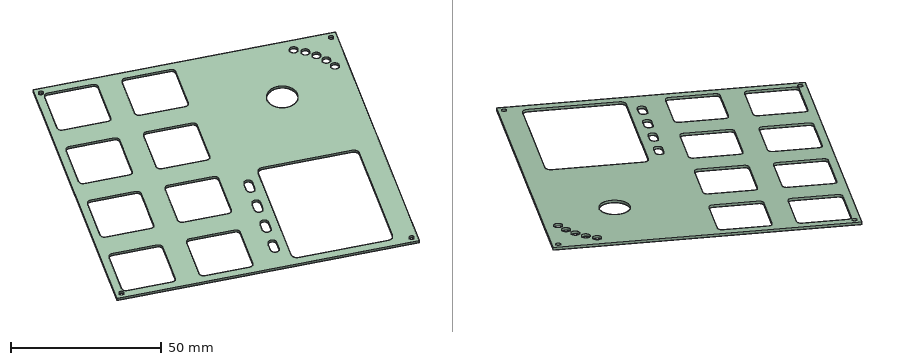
import cadquery as cq
import math

panel_size = 104.35
panel_thickness = 1.0

grid_pitch = 26.75

screw_hole_diameter = 1.75
screw_hole_spacing = 100.1

pad_size = 18.5
pad_corner_radius = 1.5
pad_columns = 4
pad_rows = 2

window_width = 45.0
window_height = 35.0
window_corner_radius = 2.0
window_center = (grid_pitch, grid_pitch)

slot_length = 6.0
slot_width = 3.0
slot_pitch = 10.0
slot_count = 4
slot_row_y = 4.75

knob_hole_diameter = 10.5
knob_center = (-grid_pitch, grid_pitch)
indicator_diameter = 3.0
indicator_arc_radius = 23.0
indicator_count = 5
indicator_step_angle = 10.0
indicator_middle_angle = 135.0


def centered_steps(count, pitch):
    """Evenly spaced positions, symmetric about zero."""
    return [(i - (count - 1) / 2) * pitch for i in range(count)]


def round_cutters(centers, diameter):
    return cq.Workplane("XY").pushPoints(centers).circle(diameter / 2).extrude(panel_thickness)


def rounded_rectangle_cutters(centers, width, height, corner_radius):
    blocks = cq.Workplane("XY").pushPoints(centers).rect(width, height).extrude(panel_thickness)
    return blocks.edges("|Z").fillet(corner_radius)


def screw_hole_cutters():
    offsets = centered_steps(2, screw_hole_spacing)
    return round_cutters([(x, y) for x in offsets for y in offsets], screw_hole_diameter)


def pad_cutters():
    columns = centered_steps(pad_columns, grid_pitch)
    rows = [-(row + 0.5) * grid_pitch for row in range(pad_rows)]
    centers = [(x, y) for x in columns for y in rows]
    return rounded_rectangle_cutters(centers, pad_size, pad_size, pad_corner_radius)


def window_cutter():
    return rounded_rectangle_cutters([window_center], window_width, window_height, window_corner_radius)


def slot_cutters():
    centers = [(window_center[0] + dx, slot_row_y) for dx in centered_steps(slot_count, slot_pitch)]
    return cq.Workplane("XY").pushPoints(centers).slot2D(slot_length, slot_width).extrude(panel_thickness)


def knob_cutter():
    return round_cutters([knob_center], knob_hole_diameter)


def indicator_cutters():
    centers = []
    for step in centered_steps(indicator_count, indicator_step_angle):
        angle = math.radians(indicator_middle_angle + step)
        x = knob_center[0] + indicator_arc_radius * math.cos(angle)
        y = knob_center[1] + indicator_arc_radius * math.sin(angle)
        centers.append((x, y))
    return round_cutters(centers, indicator_diameter)


panel = cq.Workplane("XY").rect(panel_size, panel_size).extrude(panel_thickness)

result = (
    panel.cut(screw_hole_cutters())
    .cut(pad_cutters())
    .cut(window_cutter())
    .cut(slot_cutters())
    .cut(knob_cutter())
    .cut(indicator_cutters())
)